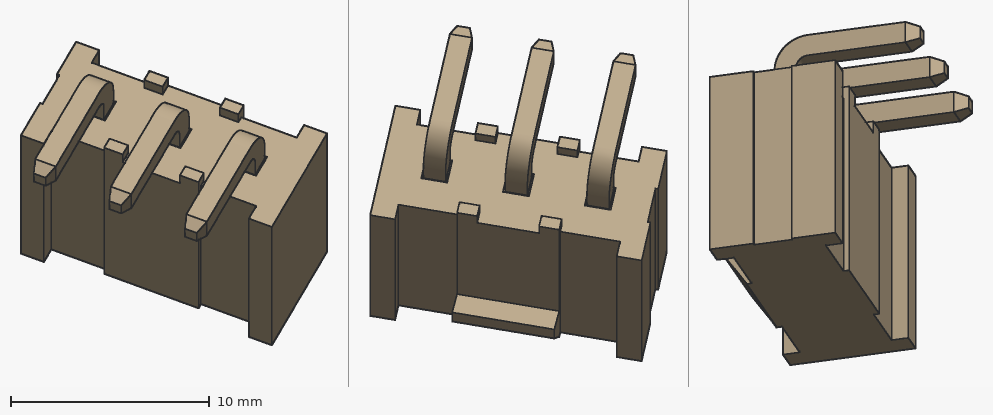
import cadquery as cq

HOUSING_WIDTH = 13.91
HOUSING_HEIGHT = 9.64
CORE_DEPTH = 4.83
FLANGE_THICKNESS = 1.28
FLANGE_DEPTH = 6.6
PANEL_WIDTH = 5.23
PANEL_DEPTH = 5.41

GROOVE_WIDTH = 2.02
GROOVE_DEPTH = 0.14

STANDOFF_WIDTH = 1.03
STANDOFF_DEPTH = 0.64
STANDOFF_HEIGHT = 0.64

LATCH_REACH = 0.7
LATCH_ROOT_TOP = 2.5
LATCH_TIP_TOP = 2.8
LATCH_TIP_BOTTOM = 1.92
LATCH_ROOT_BOTTOM = 0.05

PIN_COUNT = 3
PIN_PITCH = 4.19
PIN_SIZE = 1.14
PIN_TOP = 12.38
PIN_REACH = 7.01
BEND_INNER_RADIUS = 0.63
TIP_LENGTH = 0.7
TIP_SIZE = 0.65

SOCKET_DEPTH = 1.39
MOUTH_CHAMFER = 0.1

PIN_POSITIONS = [(i - (PIN_COUNT - 1) / 2) * PIN_PITCH for i in range(PIN_COUNT)]


def upright_block(width, depth, height, x=0, y=0, base=0):
    """Box centred on (x, y) that rises from the given base level."""
    return (
        cq.Workplane("XY")
        .box(width, depth, height, centered=(True, True, False))
        .translate((x, y, base))
    )


def make_latch():
    root = PANEL_DEPTH / 2
    tip = FLANGE_DEPTH / 2 + LATCH_REACH
    return (
        cq.Workplane("YZ")
        .moveTo(root, LATCH_ROOT_BOTTOM)
        .lineTo(tip, LATCH_TIP_BOTTOM)
        .lineTo(tip, LATCH_TIP_TOP)
        .lineTo(root, LATCH_ROOT_TOP)
        .close()
        .extrude(PANEL_WIDTH / 2, both=True)
    )


def make_socket_cutter(x):
    """Square socket that fits the pin, widened at its mouth by the chamfer."""
    mouth_size = PIN_SIZE + 2 * MOUTH_CHAMFER
    shaft = upright_block(PIN_SIZE, PIN_SIZE, SOCKET_DEPTH, x=x, base=HOUSING_HEIGHT - SOCKET_DEPTH)
    mouth = (
        cq.Workplane("XY", origin=(x, 0, HOUSING_HEIGHT - MOUTH_CHAMFER))
        .rect(PIN_SIZE, PIN_SIZE)
        .workplane(offset=MOUTH_CHAMFER)
        .rect(mouth_size, mouth_size)
        .loft(ruled=True)
    )
    return shaft.union(mouth)


def make_housing():
    housing = upright_block(HOUSING_WIDTH, CORE_DEPTH, HOUSING_HEIGHT)
    housing = housing.union(upright_block(PANEL_WIDTH, PANEL_DEPTH, HOUSING_HEIGHT))

    flange_x = (HOUSING_WIDTH - FLANGE_THICKNESS) / 2
    standoff_x = (PANEL_WIDTH - STANDOFF_WIDTH) / 2
    standoff_y = (PANEL_DEPTH - STANDOFF_DEPTH) / 2
    for x_side in (-1, 1):
        flange = upright_block(FLANGE_THICKNESS, FLANGE_DEPTH, HOUSING_HEIGHT, x=x_side * flange_x)
        housing = housing.union(flange)
        for y_side in (-1, 1):
            standoff = upright_block(
                STANDOFF_WIDTH,
                STANDOFF_DEPTH,
                STANDOFF_HEIGHT,
                x=x_side * standoff_x,
                y=y_side * standoff_y,
                base=HOUSING_HEIGHT,
            )
            housing = housing.union(standoff)

    housing = housing.union(make_latch())

    groove = upright_block(2 * GROOVE_DEPTH, GROOVE_WIDTH, HOUSING_HEIGHT, x=-HOUSING_WIDTH / 2)
    housing = housing.cut(groove)

    for x in PIN_POSITIONS:
        housing = housing.cut(make_socket_cutter(x))
    return housing


def make_pin(x):
    """Square pin that stands on its socket floor, bends toward -Y and ends in a tapered tip."""
    half = PIN_SIZE / 2
    bend_radius = BEND_INNER_RADIUS + half
    axis_z = PIN_TOP - half
    bend_start_z = axis_z - bend_radius
    taper_y = TIP_LENGTH - PIN_REACH
    foot_z = HOUSING_HEIGHT - SOCKET_DEPTH

    axis = (
        cq.Workplane("YZ")
        .moveTo(0, foot_z)
        .lineTo(0, bend_start_z)
        .tangentArcPoint((-bend_radius, axis_z), relative=False)
        .lineTo(taper_y, axis_z)
    )
    shank = cq.Workplane("XY", origin=(0, 0, foot_z)).rect(PIN_SIZE, PIN_SIZE).sweep(axis)

    tip = (
        cq.Workplane("XZ", origin=(0, taper_y, axis_z))
        .rect(PIN_SIZE, PIN_SIZE)
        .workplane(offset=TIP_LENGTH)
        .rect(TIP_SIZE, TIP_SIZE)
        .loft(ruled=True)
    )
    return shank.union(tip).translate((x, 0, 0))


housing = make_housing()
pins = [make_pin(x) for x in PIN_POSITIONS]

result = cq.Compound.makeCompound([housing.val(), *[pin.val() for pin in pins]])